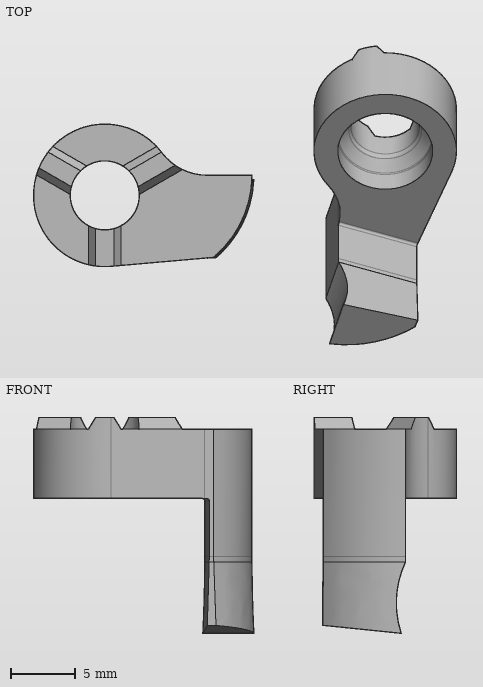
import cadquery as cq
import math

HEAD_RADIUS = 5.496
HEAD_THICKNESS = 5.33
TOTAL_HEIGHT = 16.65

TOOTH_HEIGHT = 0.92
TOOTH_BASE_WIDTH = 2.53
TOOTH_TOP_WIDTH = 1.41
TOOTH_ANGLES = (-90, 30, 150)

BORE_RADIUS = 5.3 / 2
COUNTERBORE_RADIUS = 7.3 / 2
LIP_DEPTH = 2.15
LIP_ROUND = 0.56
CONE_ANGLE = 45.0
COUNTERBORE_FILLET = 0.17

HORN_BACK_Y = 1.56
HORN_NECK_RADIUS = 4.33
HORN_FRONT_ANGLE = 5.0
HORN_FRONT_BREAK_X = 7.68
HORN_CORNER_Y = -4.75
OUTER_ARC_RADIUS = 8.25
OUTER_ARC_X = 3.08
OUTER_ARC_Y = HORN_BACK_Y
OUTER_MIDDLE_Y = (HORN_BACK_Y + HORN_CORNER_Y) / 2

LEG_INNER_BACK_X = 7.7
LEG_INNER_FRONT_X = 8.05
LEG_STRAIGHT_Z = -9.79
LEG_ROOT_FILLET = 0.2

TIP_TOP_Z = -10.25
TIP_FLARE = 0.17
FRONT_FLARE_RATIO = 0.3
RELIEF_DEEPEST_Y = 0.87
RELIEF_DEEPEST_Z = -13.15
RELIEF_BOTTOM_Y = 1.24
TIP_FRONT_BOTTOM_Z = -15.12

HEAD_BOTTOM_Z = -HEAD_THICKNESS
TIP_BOTTOM_Z = TOOTH_HEIGHT - TOTAL_HEIGHT
BLEND_FLARE = 0.5 * TIP_FLARE * (LEG_STRAIGHT_Z - TIP_TOP_Z) / (TIP_TOP_Z - TIP_BOTTOM_Z)
CUT_MARGIN = 1.7

front_angle = math.radians(HORN_FRONT_ANGLE)
front_tangent = (HEAD_RADIUS * math.sin(front_angle), -HEAD_RADIUS * math.cos(front_angle))
front_break = (
    HORN_FRONT_BREAK_X,
    front_tangent[1] + (HORN_FRONT_BREAK_X - front_tangent[0]) * math.tan(front_angle),
)

neck_centre_y = HORN_BACK_Y + HORN_NECK_RADIUS
neck_centre_x = math.sqrt((HEAD_RADIUS + HORN_NECK_RADIUS) ** 2 - neck_centre_y**2)
neck_angle = math.atan2(neck_centre_y, neck_centre_x)


def outer_point(y, flare=0.0):
    """Point at height y on the horn's outer arc, grown outward by flare."""
    radius = OUTER_ARC_RADIUS + flare
    return (OUTER_ARC_X + math.sqrt(radius**2 - (y - OUTER_ARC_Y) ** 2), y)


def polar(radius, angle, centre=(0.0, 0.0)):
    return (centre[0] + radius * math.cos(angle), centre[1] + radius * math.sin(angle))


def head_outline():
    """Plan of the round head and its horn, on the seat plane."""
    neck_mid_angle = (neck_angle - math.pi - math.pi / 2) / 2
    neck_mid = polar(HORN_NECK_RADIUS, neck_mid_angle, (neck_centre_x, neck_centre_y))
    return (
        cq.Workplane("XY")
        .moveTo(*front_tangent)
        .lineTo(*front_break)
        .lineTo(*outer_point(HORN_CORNER_Y))
        .threePointArc(outer_point(OUTER_MIDDLE_Y), outer_point(HORN_BACK_Y))
        .lineTo(neck_centre_x, HORN_BACK_Y)
        .threePointArc(neck_mid, polar(HEAD_RADIUS, neck_angle))
        .threePointArc((-HEAD_RADIUS, 0), front_tangent)
        .close()
    )


def leg_section(z, flare=0.0):
    """Closed wire of the leg's cross-section at height z, grown outward by flare."""
    corner = outer_point(HORN_CORNER_Y)
    along = (LEG_INNER_FRONT_X - front_break[0]) / (corner[0] - front_break[0])
    inner_front_y = front_break[1] + along * (corner[1] - front_break[1])
    front_shift = FRONT_FLARE_RATIO * flare
    return (
        cq.Workplane("XY", origin=(0, 0, z))
        .moveTo(LEG_INNER_BACK_X - flare, HORN_BACK_Y)
        .lineTo(LEG_INNER_FRONT_X - flare, inner_front_y - front_shift)
        .lineTo(*outer_point(HORN_CORNER_Y - front_shift, flare))
        .threePointArc(outer_point(OUTER_MIDDLE_Y, flare), outer_point(HORN_BACK_Y, flare))
        .close()
        .val()
    )


def make_teeth():
    """Three radial trapezoid teeth, trimmed to the head outline."""
    half_base = TOOTH_BASE_WIDTH / 2
    half_top = TOOTH_TOP_WIDTH / 2
    reach = 2 * HEAD_RADIUS
    tooth = (
        cq.Workplane("YZ")
        .polyline([(-half_base, 0), (half_base, 0), (half_top, TOOTH_HEIGHT), (-half_top, TOOTH_HEIGHT)])
        .close()
        .extrude(reach)
    )
    teeth = cq.Workplane("XY")
    for angle in TOOTH_ANGLES:
        teeth = teeth.add(tooth.rotate((0, 0, 0), (0, 0, 1), angle))
    return teeth.combine().intersect(head_outline().extrude(TOOTH_HEIGHT))


def make_bore():
    """Revolved cutter for the bore, its rounded lip, the cone and the counterbore."""
    slope = math.radians(CONE_ANGLE)
    cone_start_r = BORE_RADIUS + LIP_ROUND * (1 - math.cos(slope))
    cone_start_z = -LIP_DEPTH - LIP_ROUND * math.sin(slope)
    lip_mid = (
        BORE_RADIUS + LIP_ROUND * (1 - math.cos(slope / 2)),
        -LIP_DEPTH - LIP_ROUND * math.sin(slope / 2),
    )
    tangent_length = COUNTERBORE_FILLET * math.tan(slope / 2)
    corner_z = cone_start_z - (COUNTERBORE_RADIUS - cone_start_r) / math.tan(slope)
    fillet_start = (
        COUNTERBORE_RADIUS - tangent_length * math.sin(slope),
        corner_z + tangent_length * math.cos(slope),
    )
    fillet_end = (COUNTERBORE_RADIUS, corner_z - tangent_length)
    fillet_mid = (
        COUNTERBORE_RADIUS - COUNTERBORE_FILLET * (1 - math.cos(slope / 2)),
        fillet_end[1] + COUNTERBORE_FILLET * math.sin(slope / 2),
    )
    return (
        cq.Workplane("XZ")
        .moveTo(0, TOOTH_HEIGHT)
        .lineTo(BORE_RADIUS, TOOTH_HEIGHT)
        .lineTo(BORE_RADIUS, -LIP_DEPTH)
        .threePointArc(lip_mid, (cone_start_r, cone_start_z))
        .lineTo(*fillet_start)
        .threePointArc(fillet_mid, fillet_end)
        .lineTo(COUNTERBORE_RADIUS, HEAD_BOTTOM_Z)
        .lineTo(0, HEAD_BOTTOM_Z)
        .close()
        .revolve(360, (0, 0, 0), (0, 1, 0))
    )


def loft_between(lower, upper):
    return cq.Workplane(cq.Solid.makeLoft([lower, upper], True))


def make_holder():
    """Head, horn, teeth and leg, down to the plane where the cutting tip begins."""
    head = head_outline().extrude(HEAD_BOTTOM_Z)
    leg = loft_between(leg_section(LEG_STRAIGHT_Z), leg_section(HEAD_BOTTOM_Z))
    root_middle = (
        (LEG_INNER_BACK_X + LEG_INNER_FRONT_X) / 2,
        OUTER_MIDDLE_Y,
        HEAD_BOTTOM_Z,
    )
    body = head.union(leg)
    body = body.edges(cq.NearestToPointSelector(root_middle)).fillet(LEG_ROOT_FILLET)
    blend = loft_between(leg_section(TIP_TOP_Z, BLEND_FLARE), leg_section(LEG_STRAIGHT_Z))
    return body.union(blend).union(make_teeth()).cut(make_bore())


def make_tip():
    """Flared cutting tip with a hollow relief at the back and a sloping bottom face."""
    flared = loft_between(leg_section(TIP_BOTTOM_Z, TIP_FLARE), leg_section(TIP_TOP_Z, BLEND_FLARE))
    side_profile = (
        cq.Workplane("YZ")
        .moveTo(HORN_BACK_Y, TIP_TOP_Z)
        .threePointArc((RELIEF_DEEPEST_Y, RELIEF_DEEPEST_Z), (RELIEF_BOTTOM_Y, TIP_BOTTOM_Z))
        .lineTo(HORN_CORNER_Y, TIP_FRONT_BOTTOM_Z)
        .lineTo(HORN_CORNER_Y - CUT_MARGIN, TIP_FRONT_BOTTOM_Z)
        .lineTo(HORN_CORNER_Y - CUT_MARGIN, TIP_TOP_Z)
        .close()
        .extrude(OUTER_ARC_X + OUTER_ARC_RADIUS + CUT_MARGIN)
    )
    return flared.intersect(side_profile)


holder = make_holder()
tip = make_tip()

result = cq.Compound.makeCompound([holder.val(), tip.val()])